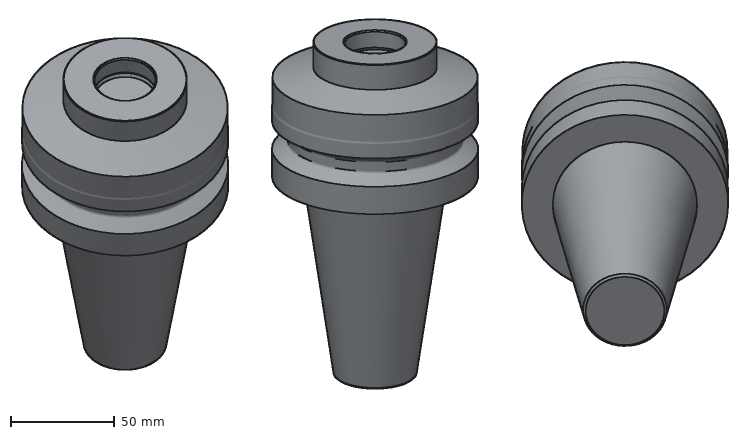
import cadquery as cq
import math


taper_ratio = 7 / 24
gauge_diameter = 69.8
gauge_height = 101.7
shank_end_chamfer = 1.0

flange_diameter = 100.0
flange_bottom = 103.3
flange_top = 139.9
groove_diameter = 85.0
groove_center = 125.0
groove_mouth_width = 14.7
groove_side_angle = 30
groove_root_fillet = 1.0

body_diameter = 99.5
body_step_height = 1.0
shoulder_bottom = 155.0
shoulder_top = 160.1

nose_diameter = 60.0
nose_chamfer = 0.3
total_height = 173.3
bore_diameter = 29.5
bore_depth = 12.0
bore_mouth_chamfer = 0.7
undercut_height = 3.1
undercut_depth = 1.0


def make_shank():
    """Tapered shank with a short cylinder joining it to the flange."""
    gauge_radius = gauge_diameter / 2
    end_radius = gauge_radius - gauge_height * taper_ratio / 2
    profile = (
        cq.Workplane("XZ")
        .polyline([
            (0, 0),
            (end_radius, 0),
            (gauge_radius, gauge_height),
            (gauge_radius, flange_bottom),
            (0, flange_bottom),
        ])
        .close()
    )
    shank = profile.revolve(360, (0, 0, 0), (0, 1, 0))
    return shank.faces("<Z").edges().chamfer(shank_end_chamfer)


def make_flange():
    """Flange disc with a V-sided groove, its root corners rounded."""
    flange_radius = flange_diameter / 2
    groove_radius = groove_diameter / 2
    side_rise = (flange_radius - groove_radius) * math.tan(math.radians(groove_side_angle))
    mouth_low = groove_center - groove_mouth_width / 2
    mouth_high = groove_center + groove_mouth_width / 2
    root_low = mouth_low + side_rise
    root_high = mouth_high - side_rise
    profile = (
        cq.Workplane("XZ")
        .polyline([
            (0, flange_bottom),
            (flange_radius, flange_bottom),
            (flange_radius, mouth_low),
            (groove_radius, root_low),
            (groove_radius, root_high),
            (flange_radius, mouth_high),
            (flange_radius, flange_top),
            (0, flange_top),
        ])
        .close()
    )
    flange = profile.revolve(360, (0, 0, 0), (0, 1, 0))
    root_edges = flange.edges(
        cq.selectors.BoxSelector(
            (-flange_radius, -flange_radius, root_low - groove_root_fillet),
            (flange_radius, flange_radius, root_high + groove_root_fillet),
        )
    ).edges("%CIRCLE")
    return root_edges.fillet(groove_root_fillet)


def make_body():
    """Body cylinder with a narrow cone below and a conical shoulder above."""
    body_radius = body_diameter / 2
    profile = (
        cq.Workplane("XZ")
        .polyline([
            (0, flange_top),
            (flange_diameter / 2, flange_top),
            (body_radius, flange_top + body_step_height),
            (body_radius, shoulder_bottom),
            (nose_diameter / 2, shoulder_top),
            (0, shoulder_top),
        ])
        .close()
    )
    return profile.revolve(360, (0, 0, 0), (0, 1, 0))


def make_nose():
    """Cylindrical nose with a chamfered top rim."""
    nose = (
        cq.Workplane("XY", origin=(0, 0, shoulder_top))
        .circle(nose_diameter / 2)
        .extrude(total_height - shoulder_top)
    )
    return nose.faces(">Z").edges().chamfer(nose_chamfer)


def make_bore():
    """Blind bore with a chamfered mouth and a V-shaped relief at its floor."""
    bore_radius = bore_diameter / 2
    floor_height = total_height - bore_depth
    profile = (
        cq.Workplane("XZ")
        .polyline([
            (0, floor_height),
            (bore_radius, floor_height),
            (bore_radius + undercut_depth, floor_height + undercut_height / 2),
            (bore_radius, floor_height + undercut_height),
            (bore_radius, total_height - bore_mouth_chamfer),
            (bore_radius + bore_mouth_chamfer, total_height),
            (0, total_height),
        ])
        .close()
    )
    return profile.revolve(360, (0, 0, 0), (0, 1, 0))


holder = make_shank().union(make_flange()).union(make_body()).union(make_nose())
result = holder.cut(make_bore())